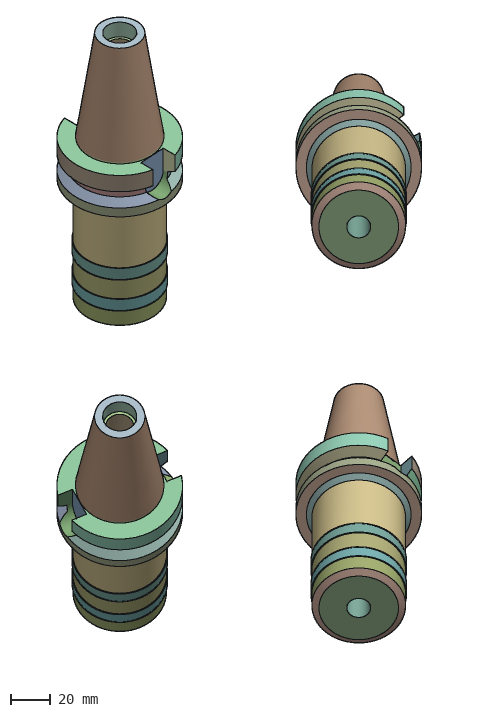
import cadquery as cq

total_height = 170.4
nose_chamfer_top = 2.0
band_height = 7.5
band_bottoms = (11.6, 31.4)
collar_bottom = 75.3
collar_top = 77.7
lower_flange_top = 83.3
groove_bottom = 86.5
groove_top = 90.7
upper_flange_bottom = 93.7
flange_top = 104.1
taper_base = 105.0

flange_radius = 31.5
groove_radius = 26.5
collar_radius = 26.2
body_radius = 23.5
band_radius = 24.0
nose_radius = 20.0
taper_base_radius = 22.2
taper_tip_radius = 12.6

pilot_radius = 8.5
pilot_depth = 9.4
bore_radius = 7.0
bore_depth = 30.0
through_radius = 6.0

slot_width = 16.2
slot_bottom = 82.0
slot_floor_x = 22.3


def make_body():
    """Revolve the outer profile of the holder about Z."""
    profile = [
        (0, 0),
        (nose_radius, 0),
        (body_radius, nose_chamfer_top),
        (body_radius, collar_bottom),
        (collar_radius, collar_top),
        (flange_radius, collar_top),
        (flange_radius, lower_flange_top),
        (groove_radius, groove_bottom),
        (groove_radius, groove_top),
        (flange_radius, upper_flange_bottom),
        (flange_radius, flange_top),
        (taper_base_radius, flange_top),
        (taper_base_radius, taper_base),
        (taper_tip_radius, total_height),
        (0, total_height),
    ]
    return cq.Workplane("XZ").polyline(profile).close().revolve(360, (0, 0), (0, 1))


def make_cylinder(radius, bottom, top):
    """Cylinder on the Z axis between two levels."""
    return cq.Workplane("XY").workplane(offset=bottom).circle(radius).extrude(top - bottom)


def make_slot(side):
    """Round-bottomed drive slot, open outward and upward; side is +1 or -1 along X."""
    half_width = slot_width / 2
    arc_level = slot_bottom + half_width
    return (
        cq.Workplane("YZ", origin=(side * slot_floor_x, 0, 0))
        .moveTo(-half_width, flange_top)
        .lineTo(-half_width, arc_level)
        .threePointArc((0, slot_bottom), (half_width, arc_level))
        .lineTo(half_width, flange_top)
        .close()
        .extrude(side * flange_radius)
    )


result = make_body()

for band_bottom in band_bottoms:
    result = result.union(make_cylinder(band_radius, band_bottom, band_bottom + band_height))

for side in (-1, 1):
    result = result.cut(make_slot(side))

result = result.cut(make_cylinder(through_radius, 0, total_height))
result = result.cut(make_cylinder(bore_radius, total_height - bore_depth, total_height))
result = result.cut(make_cylinder(pilot_radius, total_height - pilot_depth, total_height))